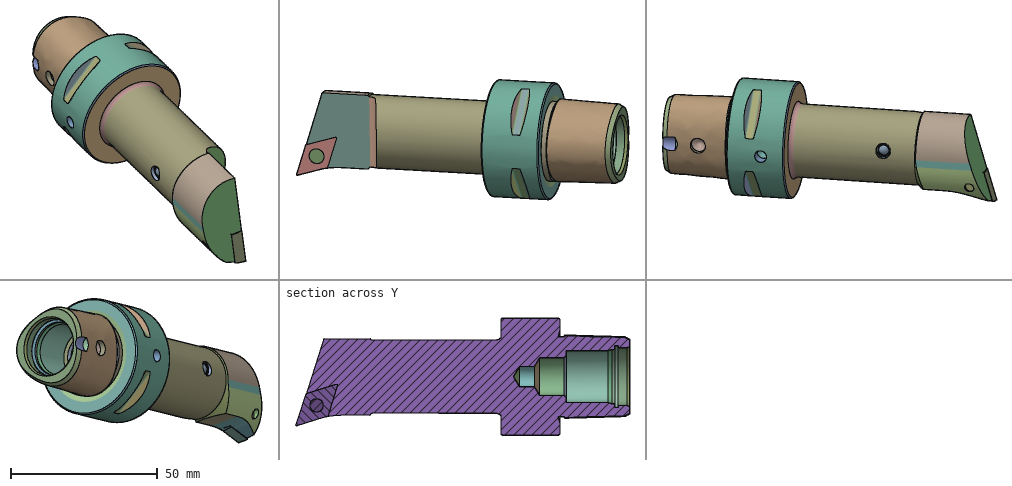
import cadquery as cq
import math


overall_length = 114.0
flange_dia = 40.0
flange_length = 20.2
flange_chamfer = 0.5
shank_length = 23.8
tip_x = overall_length - shank_length
tip_z = -16.9

lobe_count = 3
points_per_lobe = 12
small_end_mean, small_end_lobe = 13.5, 0.8
large_end_mean, large_end_lobe = 14.0, 0.85
lead_in_length, lead_in_depth = 1.7, 0.9
lead_out = 0.3
relief_length = 1.4
relief_radius = 13.7
dish_radius, dish_depth = 15.7, 0.6

mouth_radius, mouth_chamfer = 10.3, 1.0
entry_radius, entry_depth = 9.8, 4.0
groove_radius, groove_depth = 10.5, 5.1
land_radius, land_depth = 9.2, 6.2
chamber_radius, chamber_start, chamber_depth = 8.8, 7.5, 21.7
coolant_radius, coolant_depth = 6.4, 30.8
coolant_chamfer = 0.8
feed_radius, feed_length = 3.4, 6.8
drill_half_angle = 59.0

key_radius, key_length, key_axis_y = 2.7, 4.5, -13.9
cross_hole_x, cross_hole_radius, cross_hole_y = -11.3, 2.6, -11.0
flange_hole_x, flange_hole_radius, flange_hole_depth = 12.1, 2.0, 4.6

notch_count = 4
notch_x = 8.0
notch_floor_width, notch_top_width = 2.7, 5.4
notch_floor_radius = 17.7
notch_corner_radius = 0.6

bar_radius = 12.5
fillet_run, fillet_rise = 1.8, 0.8
head_start = 64.2
head_radius = 13.0
head_flat = 2.5
belly_radius = 15.7
head_underside_z = -13.2
underside_flat_end = 74.2
underside_bend = 78.4
underside_angle = 16.5
underside_relief = 11.5
end_lean = 17.6
end_relief = 5.0
holder_setback = 0.2

gash_tilt = 3.3
rake_height = 0.2
gash_wall_angle = 15.0
gash_wall_x = 61.9
gash_corner_radius = 2.8

insert_corner_angle = 55.0
insert_inscribed_radius = 4.8
insert_nose_radius = 0.3
insert_thickness = 4.0
insert_relief = 7.0
screw_radius, screw_length = 1.6, 10.6
screw_head_radius, screw_head_depth = 2.6, 1.4

nozzle_x, nozzle_z = 53.1, 2.3
nozzle_seat_radius, nozzle_seat_y = 2.5, -9.8
nozzle_ball_radius, nozzle_ball_y = 2.0, -9.9
ring_bore_radius, ring_thickness, ring_chamfer = 1.7, 1.4, 0.3

nose_x = tip_x - insert_nose_radius
nose_z = tip_z + insert_nose_radius
insert_axis_angle = 90 + end_lean + insert_corner_angle / 2
half_corner = math.radians(insert_corner_angle / 2)
half_long = (insert_inscribed_radius - insert_nose_radius) / math.sin(half_corner)
half_short = half_long * math.tan(half_corner)

clear = 68.4


def direction(angle):
    """Unit direction in the XZ plane, measured from +X toward +Z."""
    return math.cos(math.radians(angle)), math.sin(math.radians(angle))


def revolve_about_x(points):
    """Solid of revolution from (x, radius) points."""
    return cq.Workplane("XY").polyline(points).close().revolve(360, (0, 0, 0), (1, 0, 0))


def drill_point(radius):
    """Length of the conical bottom of a drilled hole."""
    return radius / math.tan(math.radians(drill_half_angle))


def drilled_hole(radius, start, length):
    """Cylinder with a conical bottom, drilled along +X from the given X."""
    bottom = start + length
    return revolve_about_x(
        [(start, 0), (start, radius), (bottom, radius), (bottom + drill_point(radius), 0)]
    )


def side_drilled_hole(radius, x, floor_y):
    """Hole drilled along +Y from outside the -Y side, its full radius ending at floor_y."""
    hole = drilled_hole(radius, 0, clear)
    return hole.rotate((0, 0, 0), (0, 0, 1), 90).translate((x, floor_y - clear, 0))


def lobed_section(x, mean, lobe):
    count = lobe_count * points_per_lobe
    points = []
    for i in range(count):
        angle = 2 * math.pi * i / count
        radius = mean + lobe * math.cos(lobe_count * angle)
        points.append((radius * math.cos(angle), radius * math.sin(angle)))
    return cq.Workplane("YZ", origin=(x, 0, 0)).spline(points, periodic=True).close().val()


def lobed_taper():
    end = lobed_section(-shank_length, small_end_mean - lead_in_depth, small_end_lobe)
    shoulder = lobed_section(lead_in_length - shank_length, small_end_mean, small_end_lobe)
    base = lobed_section(-relief_length - lead_out, large_end_mean, large_end_lobe)
    heel = lobed_section(-relief_length, large_end_mean - lead_out, large_end_lobe)
    lead_in = cq.Solid.makeLoft([end, shoulder], True)
    cone = cq.Solid.makeLoft([shoulder, base], True)
    heel_chamfer = cq.Solid.makeLoft([base, heel], True)
    return cq.Workplane(lead_in).union(cq.Workplane(cone)).union(cq.Workplane(heel_chamfer))


def flange_and_bar():
    """Relief neck, dished flange face, flange, root fillet and round bar in one revolution."""
    rim = flange_dia / 2
    fillet_radius = (fillet_run**2 + fillet_rise**2) / (2 * fillet_rise)
    half_sweep = math.asin(fillet_run / fillet_radius) / 2
    fillet_end = flange_length + fillet_run
    fillet_middle = (
        fillet_end - fillet_radius * math.sin(half_sweep),
        bar_radius + fillet_radius * (1 - math.cos(half_sweep)),
    )
    profile = (
        cq.Workplane("XY")
        .moveTo(-relief_length, 0)
        .lineTo(-relief_length, relief_radius)
        .lineTo(dish_depth, relief_radius)
        .lineTo(0, dish_radius)
        .lineTo(0, rim - flange_chamfer)
        .lineTo(flange_chamfer, rim)
        .lineTo(flange_length - flange_chamfer, rim)
        .lineTo(flange_length, rim - flange_chamfer)
        .lineTo(flange_length, bar_radius + fillet_rise)
        .threePointArc(fillet_middle, (fillet_end, bar_radius))
        .lineTo(head_start, bar_radius)
        .lineTo(head_start, 0)
        .close()
    )
    return profile.revolve(360, (0, 0, 0), (1, 0, 0))


def underside_cutter():
    """Everything below the head: flat, bend and slope down to the tip, relieved toward -Y."""
    slope = math.radians(underside_angle)
    bend_reach = underside_bend - underside_flat_end
    bend_radius = bend_reach / math.tan(slope / 2)
    bend_middle = (
        underside_flat_end + bend_radius * math.sin(slope / 2),
        head_underside_z - bend_radius * (1 - math.cos(slope / 2)),
    )
    bend_end = (
        underside_bend + bend_reach * math.cos(slope),
        head_underside_z - bend_reach * math.sin(slope),
    )
    far_z = head_underside_z - (clear - underside_bend + tip_x) * math.tan(slope)
    cutter = (
        cq.Workplane("XZ")
        .moveTo(head_start, head_underside_z)
        .lineTo(underside_flat_end, head_underside_z)
        .threePointArc(bend_middle, bend_end)
        .lineTo(tip_x + clear, far_z)
        .lineTo(head_start, far_z)
        .close()
        .extrude(clear / 2, both=True)
    )
    pivot = (0, 0, head_underside_z)
    return cutter.rotate(pivot, (1, 0, head_underside_z), -underside_relief)


def end_cutter():
    """Everything beyond the leaning end face, which is relieved toward -Y."""
    lean_x, lean_z = direction(end_lean)
    relief = math.radians(end_relief)
    normal = cq.Vector(lean_x * math.cos(relief), -math.sin(relief), lean_z * math.cos(relief))
    origin = cq.Vector(nose_x, rake_height, nose_z) + normal * (insert_nose_radius - holder_setback)
    plane = cq.Plane(origin=origin, xDir=(-lean_z, 0, lean_x), normal=normal)
    return cq.Workplane(plane).rect(2 * clear, 2 * clear).extrude(clear)


def head():
    belly_y = belly_radius - head_radius
    top_z = math.sqrt(head_radius**2 - belly_y**2)
    belly_offset = belly_radius * math.sqrt(0.5)
    arc_offset = head_radius * math.sqrt(0.5)
    section = (
        cq.Workplane("YZ", origin=(head_start, 0, 0))
        .moveTo(belly_y, top_z)
        .threePointArc((-arc_offset, arc_offset), (-head_radius, 0))
        .lineTo(-head_radius, -head_flat)
        .threePointArc(
            (belly_y - belly_offset, -head_flat - belly_offset),
            (belly_y, -head_flat - belly_radius),
        )
        .close()
    )
    block = section.extrude(clear)
    shoulder_cone = revolve_about_x(
        [
            (head_start, 0),
            (head_start, bar_radius),
            (head_start + clear, bar_radius + clear),
            (head_start + clear, 0),
        ]
    )
    return block.intersect(shoulder_cone).cut(underside_cutter()).cut(end_cutter())


def chip_gash():
    """Open gash that takes the +Y side off the head; its floor is the rake plane."""
    wall_lean = clear * math.tan(math.radians(gash_wall_angle))
    cutter = (
        cq.Workplane("XY")
        .moveTo(gash_wall_x, 0)
        .lineTo(tip_x + clear, 0)
        .lineTo(tip_x + clear, clear)
        .lineTo(gash_wall_x - wall_lean, clear)
        .close()
        .extrude(clear, both=True)
        .edges("|Z")
        .edges(cq.selectors.NearestToPointSelector((gash_wall_x, 0, 0)))
        .fillet(gash_corner_radius)
    )
    return cutter.rotate((0, 0, 0), (1, 0, 0), -gash_tilt).translate((0, rake_height, nose_z))


def bore():
    """Stepped bore of the taper shank with its coolant feed."""
    steps = [
        (0, 0),
        (0, mouth_radius),
        (mouth_chamfer, entry_radius),
        (entry_depth, entry_radius),
        (entry_depth, groove_radius),
        (groove_depth, groove_radius),
        (groove_depth, land_radius),
        (land_depth, land_radius),
        (chamber_start, chamber_radius),
        (chamber_depth, chamber_radius),
        (chamber_depth, coolant_radius + coolant_chamfer),
        (chamber_depth + coolant_chamfer, coolant_radius),
        (coolant_depth, coolant_radius),
        (coolant_depth + drill_point(coolant_radius), 0),
    ]
    main = revolve_about_x([(depth - shank_length, radius) for depth, radius in steps])
    return main.union(drilled_hole(feed_radius, coolant_depth - shank_length, feed_length))


def gripper_notch():
    """Tapered straight slot across the top (+Z) of the flange rim."""
    depth = flange_dia / 2 - notch_floor_radius
    half_floor = notch_floor_width / 2
    half_open = notch_top_width - half_floor
    return (
        cq.Workplane("XZ", origin=(notch_x, 0, notch_floor_radius))
        .polyline([(-half_floor, 0), (half_floor, 0), (half_open, 2 * depth), (-half_open, 2 * depth)])
        .close()
        .extrude(flange_dia, both=True)
        .faces("<Z")
        .edges("|Y")
        .fillet(notch_corner_radius)
    )


def key_notch():
    return drilled_hole(key_radius, -shank_length, key_length).translate((0, key_axis_y, 0))


def nozzle_seat():
    return (
        cq.Workplane("XZ", origin=(nozzle_x, nozzle_seat_y, nozzle_z))
        .circle(nozzle_seat_radius)
        .extrude(clear)
    )


def make_holder():
    body = flange_and_bar().union(lobed_taper()).union(head())
    body = body.cut(chip_gash()).cut(bore()).cut(key_notch())
    body = body.cut(side_drilled_hole(cross_hole_radius, cross_hole_x, cross_hole_y))
    body = body.cut(
        side_drilled_hole(flange_hole_radius, flange_hole_x, flange_hole_depth - flange_dia / 2)
    )
    for i in range(notch_count):
        angle = 360 / notch_count * (i + 0.5)
        body = body.cut(gripper_notch().rotate((0, 0, 0), (1, 0, 0), angle))
    body = body.cut(insert_blank()).cut(screw_shape(clear))
    return body.cut(nozzle_seat()).cut(make_nozzle_ball())


def on_rake(body):
    """Move a body from its own frame (top face on the XZ plane, facing +Y) to the rake plane."""
    along_x, along_z = direction(insert_axis_angle)
    placed = body.translate((half_long * along_x, 0, half_long * along_z))
    return placed.rotate((0, 0, 0), (1, 0, 0), -gash_tilt).translate((nose_x, rake_height, nose_z))


def insert_blank():
    rhombus = (
        cq.Workplane("XZ")
        .polyline([(half_long, 0), (0, half_short), (-half_long, 0), (0, -half_short)])
        .close()
        .offset2D(insert_nose_radius)
        .extrude(insert_thickness, taper=insert_relief)
    )
    return on_rake(rhombus.rotate((0, 0, 0), (0, 1, 0), -insert_axis_angle))


def screw_shape(length):
    profile = (
        cq.Workplane("XY")
        .polyline(
            [
                (0, 0),
                (screw_head_radius, 0),
                (screw_radius, -screw_head_depth),
                (screw_radius, -length),
                (0, -length),
            ]
        )
        .close()
    )
    return on_rake(profile.revolve(360, (0, 0, 0), (0, 1, 0)))


def make_insert():
    return insert_blank().cut(screw_shape(screw_length))


def make_screw():
    return screw_shape(screw_length)


def make_nozzle_ball():
    return cq.Workplane("XY").sphere(nozzle_ball_radius).translate((nozzle_x, nozzle_ball_y, nozzle_z))


def make_nozzle_ring():
    """Ring on the seat floor, hollowed to fit the ball, with a chamfered opening."""
    ring = (
        cq.Workplane("XZ", origin=(nozzle_x, nozzle_seat_y, nozzle_z))
        .circle(nozzle_seat_radius)
        .circle(ring_bore_radius)
        .extrude(ring_thickness)
        .faces("<Y")
        .edges(cq.selectors.RadiusNthSelector(0))
        .chamfer(ring_chamfer)
    )
    return ring.cut(make_nozzle_ball())


holder = make_holder()
insert = make_insert()
screw = make_screw()
nozzle_ball = make_nozzle_ball()
nozzle_ring = make_nozzle_ring()

result = cq.Compound.makeCompound(
    [holder.val(), insert.val(), screw.val(), nozzle_ball.val(), nozzle_ring.val()]
)